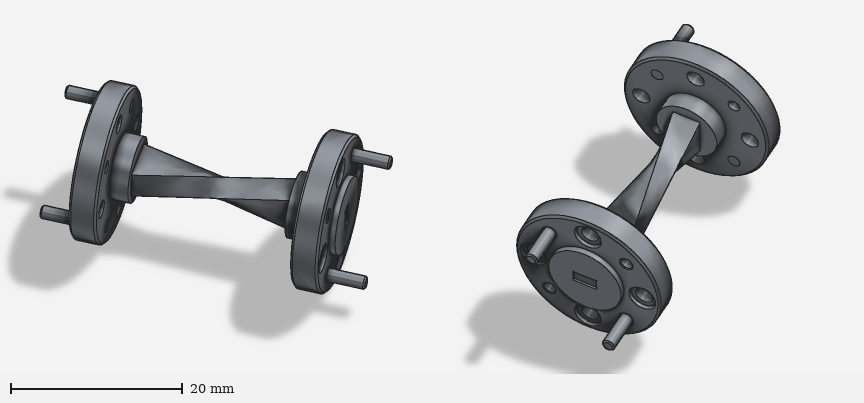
import cadquery as cq
import math

total_length = 39.5
pin_tip_x = total_length / 2

collar_end_x = 9.55
flange_inner_x = 11.8
flange_outer_x = 15.13
boss_face_x = 15.88

flange_diameter = 19.05
flange_chamfer = 0.28
boss_diameter = 9.5
collar_diameter = 7.98

tube_wide = 5.15
tube_narrow = 3.6
recess_wide = 3.12
recess_narrow = 1.55
recess_depth = 0.28

pitch_radius = 7.15
screw_hole_diameter = 2.25
screw_counterbore_diameter = 3.5
screw_counterbore_depth = 0.5
alignment_hole_diameter = 1.55
alignment_hole_chamfer = 0.1
pin_diameter = 1.58
pin_tip_chamfer = 0.2
pin_hole_chamfer = 0.2

screw_angles = (0, 90, 180, 270)
pin_angles = (45, 225)
alignment_angles = (135, 315)


def pitch_point(angle):
    """Y and Z of a point on the pitch circle, the angle measured from +Y toward +Z."""
    radians = math.radians(angle)
    return pitch_radius * math.cos(radians), pitch_radius * math.sin(radians)


def rod(diameter, x_start, x_end, center=(0, 0)):
    """Cylinder along +X between two stations, centered on a (Y, Z) point."""
    plane = cq.Workplane("YZ", origin=(x_start, *center))
    return plane.circle(diameter / 2).extrude(x_end - x_start)


def chamfered_hole(diameter, chamfer, center):
    """Cutter for a hole through the flange, with a chamfer at its outer mouth."""
    bore = rod(diameter, flange_inner_x, flange_outer_x, center)
    mouth = cq.Solid.makeCone(
        diameter / 2,
        diameter / 2 + chamfer,
        chamfer,
        pnt=cq.Vector(flange_outer_x - chamfer, *center),
        dir=cq.Vector(1, 0, 0),
    )
    return bore.union(cq.Workplane(mouth))


def flange_end():
    """The +X end: flange with boss, collar and holes, but without the waveguide recess."""
    flange = rod(flange_diameter, flange_inner_x, flange_outer_x).edges().chamfer(flange_chamfer)
    collar = rod(collar_diameter, collar_end_x, flange_inner_x)
    boss = rod(boss_diameter, flange_outer_x, boss_face_x)
    end = flange.union(collar).union(boss)
    for angle in screw_angles:
        center = pitch_point(angle)
        end = end.cut(rod(screw_hole_diameter, flange_inner_x, flange_outer_x, center))
        counterbore_floor_x = flange_outer_x - screw_counterbore_depth
        end = end.cut(rod(screw_counterbore_diameter, counterbore_floor_x, flange_outer_x, center))
    for angle in alignment_angles:
        end = end.cut(chamfered_hole(alignment_hole_diameter, alignment_hole_chamfer, pitch_point(angle)))
    for angle in pin_angles:
        end = end.cut(chamfered_hole(pin_diameter, pin_hole_chamfer, pitch_point(angle)))
    return end


def recess(size_y, size_z):
    """Cutter for the waveguide recess in the +X boss face."""
    return cq.Workplane("YZ", origin=(boss_face_x, 0, 0)).rect(size_y, size_z).extrude(-recess_depth)


def twisted_tube():
    """Solid bar whose section makes a quarter turn, each corner running straight from end to end."""
    half_wide = tube_wide / 2
    half_narrow = tube_narrow / 2
    start = []
    finish = []
    for y, z in ((-1, -1), (1, -1), (1, 1), (-1, 1)):
        corner_y = y * half_wide
        corner_z = z * half_narrow
        start.append(cq.Vector(-collar_end_x, corner_y, corner_z))
        finish.append(cq.Vector(collar_end_x, corner_z, -corner_y))
    faces = [cq.Face.makeFromWires(cq.Wire.makePolygon(corners, close=True)) for corners in (start, finish)]
    for i in range(len(start)):
        j = (i + 1) % len(start)
        start_edge = cq.Edge.makeLine(start[i], start[j])
        finish_edge = cq.Edge.makeLine(finish[i], finish[j])
        faces.append(cq.Face.makeRuledSurface(start_edge, finish_edge))
    return cq.Workplane(cq.Solid.makeSolid(cq.Shell.makeShell(faces)))


def twist_body():
    """Both flange ends joined by the twisted tube, as one solid."""
    left_end = flange_end().cut(recess(recess_wide, recess_narrow)).mirror("YZ")
    right_end = flange_end().cut(recess(recess_narrow, recess_wide))
    return twisted_tube().union(left_end).union(right_end).solids()


def alignment_pin(side, angle):
    """Pin from the inner flange face outward; side is -1 for the -X end and +1 for the +X end."""
    pin = rod(pin_diameter, flange_inner_x, pin_tip_x, pitch_point(angle)).faces(">X").chamfer(pin_tip_chamfer)
    if side < 0:
        pin = pin.mirror("YZ")
    return pin.solids().val()


waveguide_twist = twist_body()
alignment_pins = [alignment_pin(side, angle) for side in (-1, 1) for angle in pin_angles]

result = cq.Compound.makeCompound([waveguide_twist.val(), *alignment_pins])